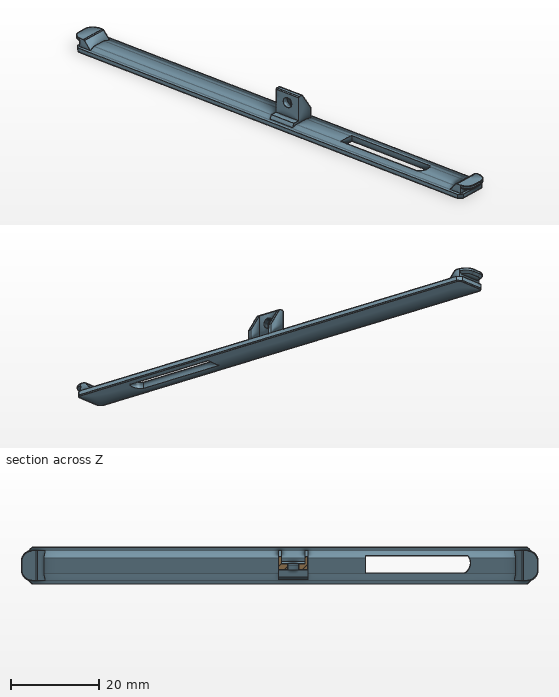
import cadquery as cq
import math

OVERALL_LENGTH = 116.9
BASE_LENGTH = 113.9
BASE_WIDTH = 8.4
RIM_HEIGHT = 1.2
CROWN_BOTTOM = RIM_HEIGHT / 2
BASE_CORNER_CHAMFER = 0.9
BASE_BOTTOM_CHAMFER = 0.2
CROWN_HEIGHT = 1.5
CROWN_FOOT_WIDTH = 6.8
CROWN_FLAT_WIDTH = 3.5

HOOK_WIDTH = CROWN_FOOT_WIDTH
HOOK_TOP = 3.3
LIP_THICKNESS = 1.2
LIP_REACH = 2.2
LIP_LENGTH = 2.9
LIP_CORNER_RADIUS = 2.3
LIP_TOP_BEVEL = 0.1
LIP_BOTTOM_CHAMFER = 0.6
HOOK_TOP_LENGTH = 3.6
RAMP_RUN = 1.8
RIDGE_BEVEL_LENGTH = 0.4
RIDGE_BEVEL_DROP = 0.1

SLOT_LEFT = 19.4
SLOT_RIGHT = 43.1
SLOT_BACK = 2.2
SLOT_FRONT = -1.6
SLOT_END_RADIUS = 2.6
SLOT_END_CENTER_Y = 0.6

BRACKET_CENTER_X = 3.0
BRACKET_WIDTH = 6.7
BRACKET_TOP = 8.2
PLATE_FRONT = -0.9
PLATE_BACK = 0.5
PLATE_TOP_BEVEL = 0.2
PLATE_FOOT_CHAMFER = 0.5
HOLE_DIAMETER = 2.5
HOLE_HEIGHT = 5.6
GUSSET_THICKNESS = 0.7
GUSSET_HEEL_HEIGHT = 3.7
SHELF_TOP = 2.1
SHELF_EDGE = -2.6
SHELF_FOOT = -3.2


def extrude_along_x(points, x_start, length):
    """Extrude a (y, z) outline toward +X from x_start."""
    return cq.Workplane("YZ", origin=(x_start, 0, 0)).polyline(points).close().extrude(length)


def make_base():
    """Chamfered strip carrying the crown, which is sloped on both long sides."""
    strip = (
        cq.Workplane("XY")
        .rect(BASE_LENGTH, BASE_WIDTH)
        .extrude(RIM_HEIGHT)
        .edges("|Z")
        .chamfer(BASE_CORNER_CHAMFER)
        .faces("<Z")
        .chamfer(BASE_BOTTOM_CHAMFER)
    )
    foot = CROWN_FOOT_WIDTH / 2
    flat = CROWN_FLAT_WIDTH / 2
    crown_length = OVERALL_LENGTH - 2 * LIP_REACH
    crown = extrude_along_x(
        [(-foot, CROWN_BOTTOM), (foot, CROWN_BOTTOM), (foot, RIM_HEIGHT),
         (flat, CROWN_HEIGHT), (-flat, CROWN_HEIGHT), (-foot, RIM_HEIGHT)],
        -crown_length / 2,
        crown_length,
    )
    return strip.union(crown)


def make_left_hook():
    """Wedge rising from the strip, with a rounded lip overhanging its end."""
    tip = -OVERALL_LENGTH / 2
    stem = tip + LIP_REACH
    ridge = tip + HOOK_TOP_LENGTH
    ramp_foot = ridge + RAMP_RUN
    wedge = (
        cq.Workplane("XZ", origin=(0, HOOK_WIDTH / 2, 0))
        .polyline([(stem, RIM_HEIGHT), (stem, HOOK_TOP), (ridge - RIDGE_BEVEL_LENGTH, HOOK_TOP),
                   (ridge, HOOK_TOP - RIDGE_BEVEL_DROP), (ramp_foot, RIM_HEIGHT)])
        .close()
        .extrude(HOOK_WIDTH)
    )
    lip = (
        cq.Workplane("XY", origin=(tip + LIP_LENGTH / 2, 0, HOOK_TOP - LIP_THICKNESS))
        .rect(LIP_LENGTH, HOOK_WIDTH)
        .extrude(LIP_THICKNESS)
        .edges("|Z and <X")
        .fillet(LIP_CORNER_RADIUS)
        .faces(">Z")
        .edges("not >X")
        .chamfer(LIP_TOP_BEVEL)
        .faces("<Z")
        .edges("not >X")
        .chamfer(LIP_BOTTOM_CHAMFER)
    )
    return wedge.union(lip)


def make_slot():
    """Slot with a square left end; its right end is an arc centered off the slot's midline."""
    arc_center_x = SLOT_RIGHT - SLOT_END_RADIUS

    def arc_x(y):
        return arc_center_x + math.sqrt(SLOT_END_RADIUS**2 - (y - SLOT_END_CENTER_Y) ** 2)

    return (
        cq.Workplane("XY")
        .moveTo(SLOT_LEFT, SLOT_FRONT)
        .lineTo(arc_x(SLOT_FRONT), SLOT_FRONT)
        .threePointArc((SLOT_RIGHT, SLOT_END_CENTER_Y), (arc_x(SLOT_BACK), SLOT_BACK))
        .lineTo(SLOT_LEFT, SLOT_BACK)
        .close()
        .extrude(CROWN_HEIGHT)
    )


def make_bracket():
    """Drilled upright plate with a front shelf and two triangular gussets behind it."""
    left = BRACKET_CENTER_X - BRACKET_WIDTH / 2
    right = left + BRACKET_WIDTH
    heel = CROWN_FOOT_WIDTH / 2
    bevel_start = BRACKET_TOP - PLATE_TOP_BEVEL

    bracket = extrude_along_x(
        [(SHELF_FOOT, RIM_HEIGHT), (SHELF_EDGE, SHELF_TOP), (PLATE_FRONT, SHELF_TOP),
         (PLATE_FRONT, bevel_start), (PLATE_FRONT + PLATE_TOP_BEVEL, BRACKET_TOP),
         (PLATE_BACK - PLATE_TOP_BEVEL, BRACKET_TOP), (PLATE_BACK, bevel_start),
         (PLATE_BACK, CROWN_HEIGHT + PLATE_FOOT_CHAMFER),
         (PLATE_BACK + PLATE_FOOT_CHAMFER, CROWN_HEIGHT), (PLATE_BACK, RIM_HEIGHT)],
        left,
        BRACKET_WIDTH,
    )
    for gusset_left in (left, right - GUSSET_THICKNESS):
        gusset = extrude_along_x(
            [(PLATE_BACK, RIM_HEIGHT), (PLATE_BACK, bevel_start),
             (heel, GUSSET_HEEL_HEIGHT), (heel, RIM_HEIGHT)],
            gusset_left,
            GUSSET_THICKNESS,
        )
        bracket = bracket.union(gusset)

    hole = (
        cq.Workplane("XZ", origin=(BRACKET_CENTER_X, 0, HOLE_HEIGHT))
        .circle(HOLE_DIAMETER / 2)
        .extrude(BASE_WIDTH / 2, both=True)
    )
    return bracket.cut(hole)


left_hook = make_left_hook()
right_hook = left_hook.mirror("YZ")
result = make_base().cut(make_slot()).union(left_hook).union(right_hook).union(make_bracket())